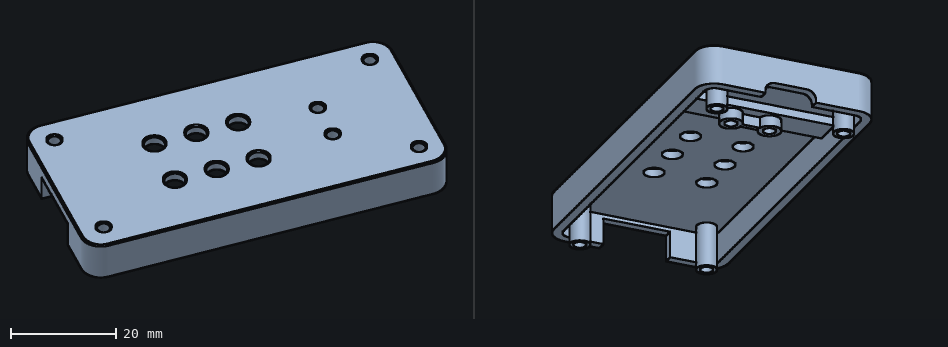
import cadquery as cq

width = 36.3
length = 74.0
body_height = 8.3
total_height = 11.0
corner_radius = 4.0
edge_chamfer = 0.3
hole_chamfer = 0.3

wall = 2.0
plate = 2.0
ceiling = body_height - plate

peg_height = total_height - body_height
peg_diameter = 4.0
small_hole = 2.5
peg_x = 13.2
peg_y = 32.05

button_hole = 4.0
button_x = 5.5
button_y = -6.15
button_pitch = 8.5

led_x = 4.0
led_y = 18.0
tube_diameter = 4.5
tube_bottom = 2.3
web_thickness = 1.0
pad_bottom = 4.5
pad_length = 6.0

notch_width = 13.85
notch_height = 5.4
port_width = 10.5
port_radius = 2.0
port_center_z = 0.45

peg_points = [(x, y) for x in (-peg_x, peg_x) for y in (-peg_y, peg_y)]
led_points = [(-led_x, led_y), (led_x, led_y)]
button_points = [
    (x, button_y + row * button_pitch) for x in (-button_x, button_x) for row in (-1, 0, 1)
]


def slab(size_x, size_y, bottom, top):
    """Rectangular block centred on the Z axis, between two heights."""
    return cq.Workplane("XY").workplane(offset=bottom).rect(size_x, size_y).extrude(top - bottom)


def cylinders(points, diameter, bottom, top):
    """Equal vertical cylinders between two heights."""
    plane = cq.Workplane("XY").workplane(offset=bottom)
    return plane.pushPoints(points).circle(diameter / 2).extrude(top - bottom)


def chamfered_holes(points, diameter):
    """Cutters for through holes that flare at the top face."""
    bores = cylinders(points, diameter, -peg_height, body_height)
    flares = (
        cq.Workplane("XY")
        .workplane(offset=body_height)
        .pushPoints(points)
        .circle(diameter / 2 + hole_chamfer)
        .extrude(-hole_chamfer, taper=45)
    )
    return bores.union(flares)


def make_shell():
    """Rounded tray, open below, with a chamfered top edge."""
    outer = slab(width, length, 0, body_height).edges("|Z").fillet(corner_radius)
    outer = outer.faces(">Z").edges().chamfer(edge_chamfer)
    cavity = slab(width - 2 * wall, length - 2 * wall, 0, ceiling)
    cavity = cavity.edges("|Z").fillet(corner_radius - wall)
    return outer.cut(cavity)


def make_led_holder():
    """Ceiling pad with two hanging tubes joined by a web."""
    pad = slab(width - 2 * wall, pad_length, pad_bottom, ceiling).translate((0, led_y, 0))
    web = slab(2 * led_x, web_thickness, tube_bottom, ceiling).translate((0, led_y, 0))
    return pad.union(web).union(cylinders(led_points, tube_diameter, tube_bottom, ceiling))


def make_front_notch():
    """Rectangular cutter through the -Y wall."""
    return slab(notch_width, wall, 0, notch_height).translate((0, (wall - length) / 2, 0))


def make_rear_port():
    """Cutter through the +Y wall: round upper corners, open at the bottom."""
    port = slab(port_width, wall, 0, port_center_z + port_radius)
    port = port.faces(">Z").edges("|Y").fillet(port_radius)
    return port.translate((0, (length - wall) / 2, 0))


result = (
    make_shell()
    .cut(make_front_notch())
    .cut(make_rear_port())
    .union(make_led_holder())
    .union(cylinders(peg_points, peg_diameter, -peg_height, ceiling))
    .cut(chamfered_holes(peg_points + led_points, small_hole))
    .cut(chamfered_holes(button_points, button_hole))
)